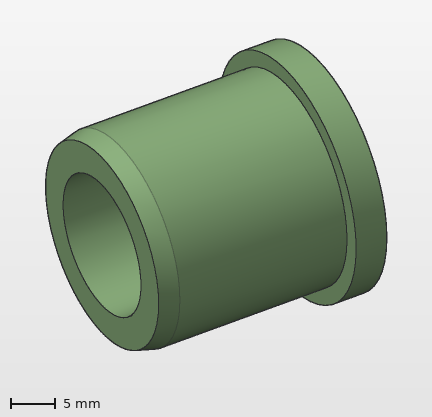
import cadquery as cq
import math

flange_diameter = 30.0
flange_thickness = 4.0
body_diameter = 26.0
bore_diameter = 17.0
total_length = 28.0
taper_length = 2.37
taper_angle = 15.0

flange_radius = flange_diameter / 2
body_radius = body_diameter / 2
bore_radius = bore_diameter / 2
tip_radius = body_radius - taper_length * math.tan(math.radians(taper_angle))
flange_start = total_length - flange_thickness

half_section = (
    cq.Workplane("XY")
    .moveTo(bore_radius, 0)
    .lineTo(tip_radius, 0)
    .lineTo(body_radius, taper_length)
    .lineTo(body_radius, flange_start)
    .lineTo(flange_radius, flange_start)
    .lineTo(flange_radius, total_length)
    .lineTo(bore_radius, total_length)
    .close()
)

result = half_section.revolve(360, (0, 0, 0), (0, 1, 0))